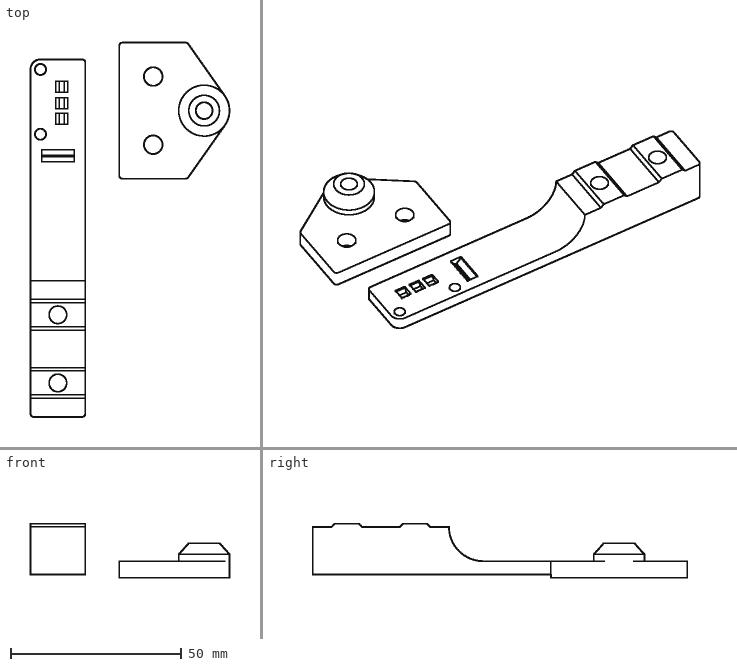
import cadquery as cq
import math

total_length = 110.0
small_corner = 1.0

bar_width = 16.2
bar_length = 105.0
bar_bottom = 1.0
thin_height = 4.0
block_height = 14.0
cove_radius = block_height - thin_height
block_length = 30.0
large_corner = 3.0

pad_centers = (10.0, 30.0)
pad_base = 9.0
pad_rise = 1.0
pad_hole_diameter = 5.2
pad_hole_depth = 10.0

end_hole_diameter = 3.2
end_hole_inset = 3.0
end_hole_pitch = 19.0

pocket_straight = 0.5
small_pocket_ys = (87.6, 92.2, 97.0)
small_pocket_x = 9.2
small_pocket_size = 3.5
small_pocket_length = 3.2
small_pocket_bevel = 1.0
wide_pocket_y = 76.7
wide_pocket_size = 3.5
wide_pocket_length = 9.5
wide_pocket_bevel = 1.5

plate_left = 26.1
plate_width = 40.0
plate_side = 20.0
plate_thickness = 5.0
plate_middle_y = total_length - plate_width / 2
boss_diameter = 15.0
boss_top_diameter = 9.0
boss_straight = 2.0
boss_cone = 3.3
boss_x = 51.0
boss_hole_diameter = 4.8
plate_hole_diameter = 5.4
plate_hole_inset = 10.0
plate_hole_pitch = 20.0


def bar_blank():
    """Side profile in Y and Z: tall block, concave cove, thin end."""
    block_top = bar_bottom + block_height
    thin_top = bar_bottom + thin_height
    cove_end = block_length + 2 * cove_radius
    cove_start = cove_end - cove_radius
    cove_offset = cove_radius * math.sqrt(0.5)
    return (
        cq.Workplane("YZ")
        .moveTo(0, bar_bottom)
        .lineTo(bar_length, bar_bottom)
        .lineTo(bar_length, thin_top)
        .lineTo(cove_end, thin_top)
        .threePointArc((cove_end - cove_offset, block_top - cove_offset), (cove_start, block_top))
        .lineTo(0, block_top)
        .close()
        .extrude(bar_width)
    )


def pad(center_y):
    """Raised strip across the block with 45 degree bevels on both long sides."""
    base_z = bar_bottom + block_height
    half_base = pad_base / 2
    half_top = half_base - pad_rise
    return (
        cq.Workplane("YZ")
        .polyline([
            (center_y - half_base, base_z),
            (center_y + half_base, base_z),
            (center_y + half_top, base_z + pad_rise),
            (center_y - half_top, base_z + pad_rise),
        ])
        .close()
        .extrude(bar_width)
    )


def bevelled_pocket(opening, bevel, length):
    """Trough along Y, centred on the origin, sunk below Z = 0, its long walls upright then at 45 degrees."""
    half_opening = opening / 2
    half_floor = half_opening - bevel
    floor_z = -pocket_straight - bevel
    return (
        cq.Workplane("XZ")
        .polyline([
            (-half_opening, 0),
            (half_opening, 0),
            (half_opening, -pocket_straight),
            (half_floor, floor_z),
            (-half_floor, floor_z),
            (-half_opening, -pocket_straight),
        ])
        .close()
        .extrude(length / 2, both=True)
    )


def round_bar(x, y, diameter, bottom, top):
    """Upright cylinder, used for the boss and as the cutter for every round hole."""
    return cq.Workplane("XY", origin=(x, y, bottom)).circle(diameter / 2).extrude(top - bottom)


def make_bar():
    thin_top = bar_bottom + thin_height
    pad_top = bar_bottom + block_height + pad_rise
    bar = bar_blank()

    bar = bar.edges("|Z and <Y").fillet(small_corner)
    bar = bar.edges("|Z and >Y and >X").fillet(small_corner)
    bar = bar.edges("|Z and >Y and <X").fillet(large_corner)

    for center_y in pad_centers:
        bar = bar.union(pad(center_y))
        hole_bottom = pad_top - pad_hole_depth
        bar = bar.cut(round_bar(bar_width / 2, center_y, pad_hole_diameter, hole_bottom, pad_top))

    end_hole_y = bar_length - end_hole_inset
    for y in (end_hole_y, end_hole_y - end_hole_pitch):
        bar = bar.cut(round_bar(end_hole_inset, y, end_hole_diameter, bar_bottom, thin_top))

    small_pocket = bevelled_pocket(small_pocket_size, small_pocket_bevel, small_pocket_length)
    for y in small_pocket_ys:
        bar = bar.cut(small_pocket.translate((small_pocket_x, y, thin_top)))

    wide_pocket = bevelled_pocket(wide_pocket_size, wide_pocket_bevel, wide_pocket_length)
    wide_pocket = wide_pocket.rotate((0, 0, 0), (0, 0, 1), 90)
    return bar.cut(wide_pocket.translate((bar_width / 2, wide_pocket_y, thin_top)))


def plate_blank():
    """Rectangle whose right end tapers along tangents to the boss circle."""
    shoulder_x = plate_left + plate_side
    half_width = plate_width / 2
    radius = boss_diameter / 2

    shoulder_distance = math.hypot(shoulder_x - boss_x, half_width)
    shoulder_angle = math.atan2(half_width, shoulder_x - boss_x)
    touch_angle = shoulder_angle - math.acos(radius / shoulder_distance)
    touch_x = boss_x + radius * math.cos(touch_angle)
    touch_y = radius * math.sin(touch_angle)

    blank = (
        cq.Workplane("XY")
        .moveTo(plate_left, plate_middle_y - half_width)
        .lineTo(shoulder_x, plate_middle_y - half_width)
        .lineTo(touch_x, plate_middle_y - touch_y)
        .threePointArc((boss_x + radius, plate_middle_y), (touch_x, plate_middle_y + touch_y))
        .lineTo(shoulder_x, plate_middle_y + half_width)
        .lineTo(plate_left, plate_middle_y + half_width)
        .close()
        .extrude(plate_thickness)
    )
    return blank.edges("|Z and (<X or <Y or >Y)").fillet(small_corner)


def boss_cone_top():
    """Truncated cone on top of the boss cylinder."""
    cone_bottom = plate_thickness + boss_straight
    boss_center = cq.Vector(boss_x, plate_middle_y, cone_bottom)
    cone = cq.Solid.makeCone(boss_diameter / 2, boss_top_diameter / 2, boss_cone, boss_center)
    return cq.Workplane(obj=cone)


def make_plate():
    straight_top = plate_thickness + boss_straight
    boss_top = straight_top + boss_cone
    plate = plate_blank()

    plate = plate.union(round_bar(boss_x, plate_middle_y, boss_diameter, plate_thickness, straight_top))
    plate = plate.union(boss_cone_top())
    plate = plate.cut(round_bar(boss_x, plate_middle_y, boss_hole_diameter, 0, boss_top))

    hole_x = plate_left + plate_hole_inset
    for side in (-1, 1):
        y = plate_middle_y + side * plate_hole_pitch / 2
        plate = plate.cut(round_bar(hole_x, y, plate_hole_diameter, 0, plate_thickness))
    return plate


bar_body = make_bar()
plate_body = make_plate()
result = cq.Compound.makeCompound([bar_body.val(), plate_body.val()])